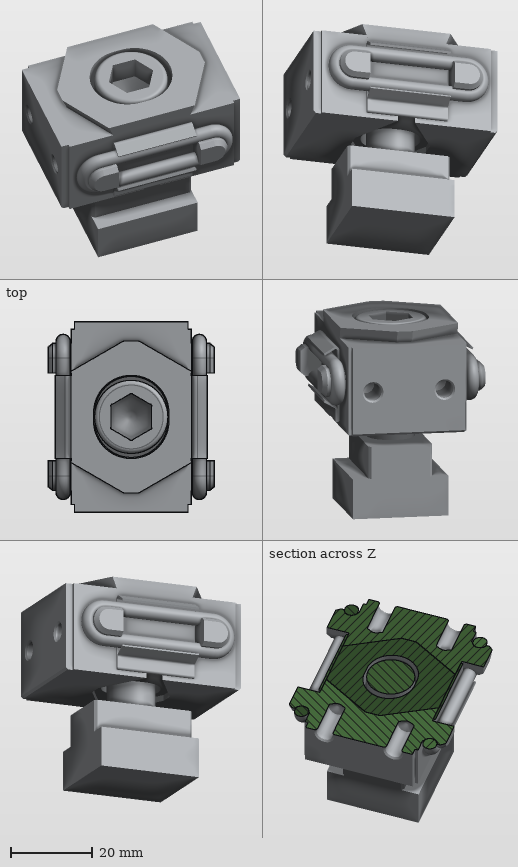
import cadquery as cq
import math


total_height = 48.0

nut_base_width = 24.0
nut_neck_width = 16.03
nut_length = 26.2
nut_base_height = 10.0
nut_height = 18.05
nut_neck_chamfer = 0.6

jaw_width = 29.6
jaw_span = 47.0
jaw_bottom_z = 23.0
jaw_top_z = 45.1
corner_notch_x = 0.75
corner_notch_y = 1.85
jaw_edge_chamfer = 0.58

mount_hole_x = 9.0
mount_hole_z = 33.95
mount_hole_radius = 2.15
mount_hole_chamfer = 0.45
mount_hole_depth = 9.6
drill_point_half_angle = 59.0

boss_span_x = 41.0
boss_z = 35.1
boss_radius = 3.6
boss_arc_center_y = 14.6
boss_inner_y = 10.8
boss_taper_length = 1.15
boss_taper_inset = 0.95

ring_center_x = 16.8
ring_bend_radius = 4.05
ring_cord_radius = 1.78

wedge_height = 23.5
wedge_top_reach = 18.7
wedge_bottom_gap = 4.25
wedge_flat_width = 3.85
wedge_plan_angle = 30.0
slot_travel = 1.9
head_slot_width = 18.6
head_slot_inset = 0.3
shank_clearance = 0.95

head_radius = 9.0
head_height = 12.0
head_fillet = 1.15
shank_radius = 6.0
socket_width = 10.08
socket_depth = 6.0

clip_length = 20.55
clip_thickness = 0.55
clip_fold_gap = 0.05
clip_bottom_z = 24.05
clip_top_z = 43.0
clip_bend_radius = 0.7
clip_lip_angle = 30.0
clip_leg_top_z = 27.25
clip_tip_x = 18.65

sides = (1, -1)
jaw_half_width = jaw_width / 2
jaw_height = jaw_top_z - jaw_bottom_z
wedge_bottom_z = total_height - wedge_height
head_floor_z = total_height - head_height
socket_circumdiameter = socket_width / math.cos(math.pi / 6)
drill_slope = math.tan(math.radians(drill_point_half_angle))


def make_t_nut():
    """T-shaped nut; the screw end is flush with its bottom."""
    base = cq.Workplane("XY").box(nut_base_width, nut_length, nut_base_height, centered=(True, True, False))
    neck = (
        cq.Workplane("XY")
        .box(nut_neck_width, nut_length, nut_height, centered=(True, True, False))
        .edges("|Z")
        .chamfer(nut_neck_chamfer)
    )
    screw_hole = cq.Workplane("XY").circle(shank_radius).extrude(nut_height)
    return base.union(neck).cut(screw_hole)


def make_screw():
    """Socket head screw, its head flush with the top of the wedge."""
    shank = cq.Workplane("XY").circle(shank_radius).extrude(head_floor_z)
    head = (
        cq.Workplane("XY", origin=(0, 0, head_floor_z))
        .circle(head_radius)
        .extrude(head_height)
        .faces(">Z")
        .edges()
        .fillet(head_fillet)
    )
    socket = (
        cq.Workplane("XY", origin=(0, 0, total_height))
        .polygon(6, socket_circumdiameter)
        .extrude(-socket_depth)
        .rotate((0, 0, 0), (0, 0, 1), 30)
    )
    cone_radius = socket_circumdiameter / 2
    socket_point = cq.Workplane(
        cq.Solid.makeCone(
            cone_radius,
            0,
            cone_radius / drill_slope,
            pnt=cq.Vector(0, 0, total_height - socket_depth),
            dir=cq.Vector(0, 0, -1),
        )
    )
    return shank.union(head).cut(socket).cut(socket_point)


side_setback = (jaw_half_width - wedge_flat_width / 2) * math.tan(math.radians(wedge_plan_angle))
wedge_side_taper = wedge_top_reach - side_setback - wedge_bottom_gap / 2


def wedge_outline(reach):
    """Plan outline: an octagon with flats at +-Y and sides flush with the jaws."""
    flat_x = wedge_flat_width / 2
    side_y = reach - side_setback
    return [
        (jaw_half_width, -side_y),
        (jaw_half_width, side_y),
        (flat_x, reach),
        (-flat_x, reach),
        (-jaw_half_width, side_y),
        (-jaw_half_width, -side_y),
        (-flat_x, -reach),
        (flat_x, -reach),
    ]


def make_wedge_blank():
    """Wedge without its bores, narrowing downwards along Y."""
    return (
        cq.Workplane("XY", origin=(0, 0, wedge_bottom_z))
        .polyline(wedge_outline(wedge_top_reach - wedge_side_taper))
        .close()
        .workplane(offset=wedge_height)
        .polyline(wedge_outline(wedge_top_reach))
        .close()
        .loft(ruled=True)
    )


def make_wedge():
    """Wedge with slots that let the screw shift along Y."""
    head_slot = (
        cq.Workplane("XY", origin=(0, 0, total_height))
        .slot2D(head_slot_width + slot_travel, head_slot_width, 90)
        .extrude(-head_height, taper=math.degrees(math.atan(head_slot_inset / head_height)))
    )
    shank_slot_width = 2 * shank_radius + shank_clearance
    shank_slot = (
        cq.Workplane("XY", origin=(0, 0, wedge_bottom_z))
        .slot2D(shank_slot_width + slot_travel, shank_slot_width, 90)
        .extrude(wedge_height)
    )
    return make_wedge_blank().cut(head_slot).cut(shank_slot)


def make_ring(side):
    """Stretched O-ring around the bosses; side is +1 for +X and -1 for -X."""
    bend_y = boss_arc_center_y
    end_y = bend_y + ring_bend_radius
    top_z = boss_z + ring_bend_radius
    bottom_z = boss_z - ring_bend_radius
    center_line = (
        cq.Workplane("YZ", origin=(side * ring_center_x, 0, 0))
        .moveTo(0, top_z)
        .lineTo(bend_y, top_z)
        .threePointArc((end_y, boss_z), (bend_y, bottom_z))
        .lineTo(-bend_y, bottom_z)
        .threePointArc((-end_y, boss_z), (-bend_y, top_z))
        .close()
    )
    cord = cq.Workplane("XZ", origin=(side * ring_center_x, 0, top_z)).circle(ring_cord_radius)
    return cord.sweep(center_line)


rings = [make_ring(side) for side in sides]


def make_bosses(side):
    """Two round-ended bosses on one side face, tapered at their outer end."""
    boss_length = boss_span_x / 2 - jaw_half_width
    body_length = boss_length - boss_taper_length
    taper_angle = math.degrees(math.atan(boss_taper_inset / boss_taper_length))
    slot_length = 2 * (boss_arc_center_y + boss_radius)
    body = (
        cq.Workplane("YZ", origin=(side * jaw_half_width, 0, boss_z))
        .slot2D(slot_length, 2 * boss_radius)
        .extrude(side * body_length)
    )
    tip = (
        cq.Workplane("YZ", origin=(side * (jaw_half_width + body_length), 0, boss_z))
        .slot2D(slot_length, 2 * boss_radius)
        .extrude(side * boss_taper_length, taper=taper_angle)
    )
    space_between = cq.Workplane("XY", origin=(0, 0, boss_z)).box(
        2 * boss_span_x, 2 * boss_inner_y, 4 * boss_radius
    )
    return body.union(tip).cut(space_between)


def make_mount_hole(x):
    """Blind drilled hole with a chamfered mouth, cut in from the +Y clamping face."""
    mouth_radius = mount_hole_radius + mount_hole_chamfer
    point_depth = mount_hole_depth + mount_hole_radius / drill_slope
    return (
        cq.Workplane("XY")
        .moveTo(0, 0)
        .lineTo(mouth_radius, 0)
        .lineTo(mount_hole_radius, -mount_hole_chamfer)
        .lineTo(mount_hole_radius, -mount_hole_depth)
        .lineTo(0, -point_depth)
        .close()
        .revolve(360, (0, 0, 0), (0, 1, 0))
        .translate((x, jaw_span / 2, mount_hole_z))
    )


def make_jaw():
    """The jaw on the +Y side."""
    front_width = jaw_width - 2 * corner_notch_x
    main_length = jaw_span / 2 - corner_notch_y
    block = cq.Workplane("XY", origin=(0, main_length / 2, jaw_bottom_z)).box(
        jaw_width, main_length, jaw_height, centered=(True, True, False)
    )
    clamping_pad = (
        cq.Workplane("XY", origin=(0, jaw_span / 4, jaw_bottom_z))
        .box(front_width, jaw_span / 2, jaw_height, centered=(True, True, False))
        .edges(">Y and <Z")
        .chamfer(jaw_edge_chamfer)
    )
    clearance_below_wedge = (
        cq.Workplane("XY", origin=(0, 0, jaw_bottom_z))
        .polyline(wedge_outline(wedge_top_reach - wedge_side_taper))
        .close()
        .extrude(wedge_bottom_z - jaw_bottom_z)
    )
    jaw = block.union(clamping_pad).cut(make_wedge_blank()).cut(clearance_below_wedge)

    back_half = cq.Workplane("XY").box(
        2 * boss_span_x, jaw_span, 2 * total_height, centered=(True, False, True)
    )
    for side in sides:
        jaw = jaw.union(make_bosses(side).intersect(back_half))
    for ring in rings:
        jaw = jaw.cut(ring)
    for x in (mount_hole_x, -mount_hole_x):
        jaw = jaw.cut(make_mount_hole(x))
    return jaw


def bend_point(center, angle):
    """Point on a clip bend, at an angle in degrees from +X towards +Z."""
    x = center[0] + clip_bend_radius * math.cos(math.radians(angle))
    z = center[1] + clip_bend_radius * math.sin(math.radians(angle))
    return (x, z)


def make_clip_strip():
    """Folded sheet-metal strip on the +X side, swept along the middle of the sheet."""
    plate_x = jaw_half_width + clip_thickness / 2
    leg_x = plate_x + clip_thickness + clip_fold_gap
    fold_radius = (leg_x - plate_x) / 2
    fold_z = clip_bottom_z + clip_thickness / 2 + fold_radius
    lip_slope = math.tan(math.radians(clip_lip_angle))

    upper_center = (plate_x + clip_bend_radius, clip_top_z - clip_thickness / 2 - clip_bend_radius)
    upper_turn = 90 + clip_lip_angle
    upper_lip_start = bend_point(upper_center, 180 - upper_turn)
    upper_drop = (clip_tip_x - upper_lip_start[0]) * lip_slope
    upper_tip = (clip_tip_x, upper_lip_start[1] - upper_drop)

    lower_center = (leg_x + clip_bend_radius, clip_leg_top_z)
    lower_turn = 90 - clip_lip_angle
    lower_lip_start = bend_point(lower_center, 180 - lower_turn)
    lower_rise = (clip_tip_x - lower_lip_start[0]) * lip_slope
    lower_tip = (clip_tip_x, lower_lip_start[1] + lower_rise)

    middle_line = (
        cq.Workplane("XZ")
        .moveTo(*upper_tip)
        .lineTo(*upper_lip_start)
        .threePointArc(bend_point(upper_center, 180 - upper_turn / 2), (plate_x, upper_center[1]))
        .lineTo(plate_x, fold_z)
        .threePointArc((plate_x + fold_radius, fold_z - fold_radius), (leg_x, fold_z))
        .lineTo(leg_x, clip_leg_top_z)
        .threePointArc(bend_point(lower_center, 180 - lower_turn / 2), lower_lip_start)
        .lineTo(*lower_tip)
    )
    tip_plane = cq.Plane(
        origin=(upper_tip[0], 0, upper_tip[1]),
        xDir=(0, 1, 0),
        normal=(-1, 0, lip_slope),
    )
    return cq.Workplane(tip_plane).rect(clip_length, clip_thickness).sweep(middle_line)


def make_clip(side, ring):
    """Clip on the given side, hollowed slightly where the ring presses into it."""
    strip = make_clip_strip()
    if side < 0:
        strip = strip.mirror("YZ")
    return strip.cut(ring)


t_nut = make_t_nut()
screw = make_screw()
wedge = make_wedge()
back_jaw = make_jaw()
jaws = [back_jaw, back_jaw.mirror("XZ")]
clips = [make_clip(side, ring) for side, ring in zip(sides, rings)]

bodies = [t_nut, screw, wedge, *jaws, *rings, *clips]
result = cq.Compound.makeCompound([body.solids().val() for body in bodies])